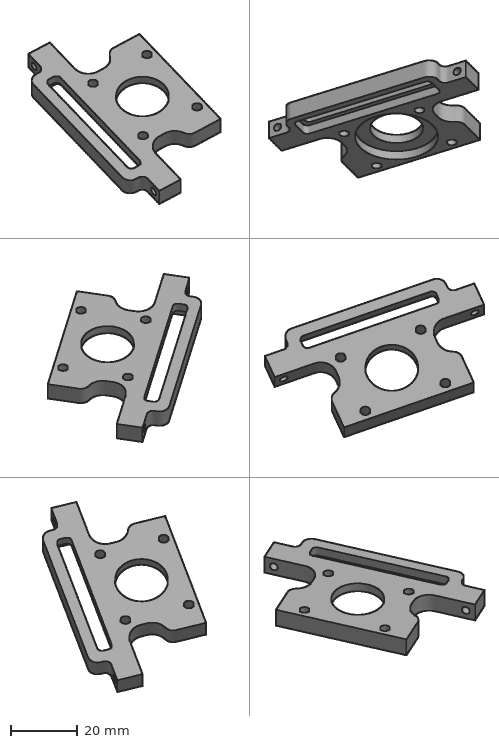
import cadquery as cq
import math

length = 68.0
depth = 37.9
thickness = 6.0

body_half_width = 21.1
waist_half_width = 16.05
foot_half_width = 26.0
wing_bottom = 5.9
wing_top = 13.9
waist_radius = 5.0
waist_flat = 2.0
shoulder_radius = 3.0
foot_inner_radius = 2.0
foot_outer_radius = 3.0

bore_diameter = 16.0
bore_y = 23.95
mount_hole_diameter = 3.0
mount_hole_half_spacing = 13.0
mount_hole_rows = (14.9, 34.9)
slot_length = 44.05
slot_width = 4.55
slot_bottom = 3.7
slot_corner_radius = 1.5
wing_hole_diameter = 2.5
wing_hole_edge_distance = 3.0

recess_depth = thickness / 2
bore_recess_diameter = 25.0
slot_recess_margin = 1.5


def point_on_arc(center, radius, angle):
    return (center[0] + radius * math.cos(angle), center[1] + radius * math.sin(angle))


def right_half():
    """Half of the plate, bounded by the symmetry plane X = 0."""
    half_length = length / 2
    width_step = body_half_width - waist_half_width
    sweep = math.acos(1 - width_step / (waist_radius + shoulder_radius))
    waist_center_x = waist_half_width + waist_radius
    lower_center = (waist_center_x, wing_top + waist_radius)
    upper_center = (waist_center_x, lower_center[1] + waist_flat)
    shoulder_center = (
        body_half_width - shoulder_radius,
        upper_center[1] + (waist_radius + shoulder_radius) * math.sin(sweep),
    )
    foot_inner_center = (foot_half_width + foot_inner_radius, wing_bottom - foot_inner_radius)
    foot_outer_center = (foot_half_width - foot_outer_radius, foot_outer_radius)

    return (
        cq.Workplane("XY")
        .moveTo(0, 0)
        .lineTo(foot_outer_center[0], 0)
        .threePointArc(
            point_on_arc(foot_outer_center, foot_outer_radius, -math.pi / 4),
            (foot_half_width, foot_outer_center[1]),
        )
        .lineTo(foot_half_width, foot_inner_center[1])
        .threePointArc(
            point_on_arc(foot_inner_center, foot_inner_radius, 3 * math.pi / 4),
            (foot_inner_center[0], wing_bottom),
        )
        .lineTo(half_length, wing_bottom)
        .lineTo(half_length, wing_top)
        .lineTo(waist_center_x, wing_top)
        .threePointArc(
            point_on_arc(lower_center, waist_radius, 5 * math.pi / 4),
            (waist_half_width, lower_center[1]),
        )
        .lineTo(waist_half_width, upper_center[1])
        .threePointArc(
            point_on_arc(upper_center, waist_radius, math.pi - sweep / 2),
            point_on_arc(upper_center, waist_radius, math.pi - sweep),
        )
        .threePointArc(
            point_on_arc(shoulder_center, shoulder_radius, -sweep / 2),
            (body_half_width, shoulder_center[1]),
        )
        .lineTo(body_half_width, depth)
        .lineTo(0, depth)
        .close()
        .extrude(thickness)
    )


def vertical_hole(x, y, diameter, height=thickness):
    """Round cutter rising from the underside."""
    return cq.Workplane("XY").center(x, y).circle(diameter / 2).extrude(height)


def slot(margin, height):
    """Slot cutter rising from the underside, widened by margin on every side."""
    return (
        cq.Workplane("XY")
        .center(0, slot_bottom + slot_width / 2)
        .rect(slot_length + 2 * margin, slot_width + 2 * margin)
        .extrude(height)
        .edges("|Z")
        .fillet(slot_corner_radius)
    )


def wing_hole(x):
    """Hole along Y through one wing, at mid-thickness."""
    return (
        cq.Workplane("XZ")
        .center(x, thickness / 2)
        .circle(wing_hole_diameter / 2)
        .extrude(-depth)
    )


half_plate = right_half()
result = half_plate.union(half_plate.mirror("YZ")).clean()

result = result.cut(vertical_hole(0, bore_y, bore_diameter))
result = result.cut(vertical_hole(0, bore_y, bore_recess_diameter, recess_depth))
result = result.cut(slot(0, thickness))
result = result.cut(slot(slot_recess_margin, recess_depth))

for side in (-1, 1):
    for row_y in mount_hole_rows:
        result = result.cut(vertical_hole(side * mount_hole_half_spacing, row_y, mount_hole_diameter))
    result = result.cut(wing_hole(side * (length / 2 - wing_hole_edge_distance)))